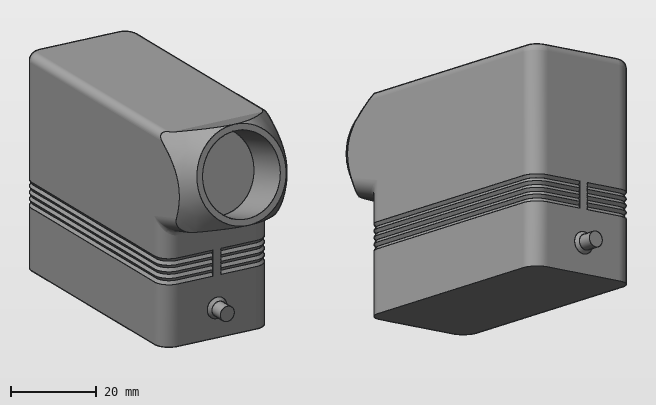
import cadquery as cq
import math

body_length = 62.9
body_width = 29.4
body_height = 54.0
corner_radius = 4.0
top_radius = 2.0
end_x = body_length / 2
half_width = body_width / 2

entry_tilt = 15.0
entry_length = 8.1
mouth_diameter = 24.05
mouth_cone_angle = 33.0
mouth_cone_length = 11.4
bore_diameter = 20.95
bore_depth = 12.2
neck_radius = 1.6

groove_count = 4
groove_pitch = 1.6
groove_depth = 0.53
grooves_bottom = 15.65
groove_gap = 2.2

pin_diameter = 3.8
pin_height = 7.5
pin_length = 4.6
collar_diameter = 5.4
collar_length = 0.8

tilt = math.radians(entry_tilt)
entry_axis = (math.cos(tilt), math.sin(tilt))
mouth_top = (
    end_x + entry_length * entry_axis[0],
    body_height + entry_length * entry_axis[1],
)
mouth_bottom = (
    mouth_top[0] + mouth_diameter * entry_axis[1],
    mouth_top[1] - mouth_diameter * entry_axis[0],
)
mouth_center = (
    (mouth_top[0] + mouth_bottom[0]) / 2,
    (mouth_top[1] + mouth_bottom[1]) / 2,
)
neck_z = mouth_bottom[1] - (mouth_bottom[0] - end_x) * math.tan(tilt)

tolerance = 0.001


def is_near(value, target):
    return abs(value - target) < tolerance


def is_on_side(edge):
    """True for edges lying in one of the two long side faces."""
    return is_near(abs(edge.Center().y), half_width)


def is_body_corner(edge):
    is_vertical = is_near(abs(edge.tangentAt(0.5).z), 1)
    return is_on_side(edge) and is_vertical


def is_entry_underside(edge):
    """True for the two long lower edges of the entry block."""
    center = edge.Center()
    is_low = neck_z < center.z < mouth_center[1]
    return is_on_side(edge) and center.x > end_x + tolerance and is_low


def is_large_round(edge):
    return is_body_corner(edge) or is_entry_underside(edge)


def is_top_rim(edge):
    """True for the outline of the top, leaving out the crease at the entry and the mouth."""
    center = edge.Center()
    is_high = center.z > body_height - tolerance
    is_crease = is_near(center.x, end_x)
    is_mouth = is_near(center.x, mouth_top[0])
    return is_high and not is_crease and not is_mouth


def is_neck(edge):
    """True for the inside corner between the +X end and the entry."""
    center = edge.Center()
    return is_near(center.x, end_x) and is_near(center.z, neck_z)


def fillet_where(part, condition, radius):
    chosen = [edge for edge in part.edges().vals() if condition(edge)]
    return part.newObject(chosen).fillet(radius)


def make_hood():
    """Body and entry block as one side profile with rounded edges."""
    hood = (
        cq.Workplane("XZ")
        .moveTo(-end_x, 0)
        .lineTo(end_x, 0)
        .lineTo(end_x, neck_z)
        .lineTo(*mouth_bottom)
        .lineTo(*mouth_top)
        .lineTo(end_x, body_height)
        .lineTo(-end_x, body_height)
        .close()
        .extrude(half_width, both=True)
    )
    hood = fillet_where(hood, is_large_round, corner_radius)
    hood = fillet_where(hood, is_top_rim, top_radius)
    return fillet_where(hood, is_neck, neck_radius)


def mouth_plane():
    """Plane of the mouth, with its normal pointing out of the entry."""
    return cq.Plane(
        origin=(mouth_center[0], 0, mouth_center[1]),
        xDir=(0, 1, 0),
        normal=(entry_axis[0], 0, entry_axis[1]),
    )


def make_mouth_trim():
    """Ring whose conical inside tapers the entry block down to the round mouth."""
    mouth_radius = mouth_diameter / 2
    base_radius = mouth_radius + mouth_cone_length * math.tan(math.radians(mouth_cone_angle))
    mouth = mouth_plane()
    section_plane = cq.Plane(origin=mouth.origin, xDir=mouth.xDir, normal=mouth.yDir.multiply(-1))
    return (
        cq.Workplane(section_plane)
        .moveTo(mouth_radius, 0)
        .lineTo(base_radius, -mouth_cone_length)
        .lineTo(base_radius, 0)
        .close()
        .revolve(360, (0, 0, 0), (0, 1, 0))
    )


def make_bore():
    return cq.Workplane(mouth_plane()).circle(bore_diameter / 2).extrude(-bore_depth)


def make_pin(side):
    """Round pin with a conical collar; side is +1 or -1 along X."""
    pin_radius = pin_diameter / 2
    return (
        cq.Workplane("XY", origin=(0, 0, pin_height))
        .moveTo(0, 0)
        .lineTo(side * (end_x + pin_length), 0)
        .lineTo(side * (end_x + pin_length), pin_radius)
        .lineTo(side * (end_x + collar_length), pin_radius)
        .lineTo(side * end_x, collar_diameter / 2)
        .lineTo(0, collar_diameter / 2)
        .close()
        .revolve(360, (0, 0, 0), (1, 0, 0))
    )


def make_groove(bottom):
    """V-shaped groove around the body, left out in the middle of each end."""
    half_pitch = groove_pitch / 2
    flank_angle = math.degrees(math.atan(groove_depth / half_pitch))
    base = cq.Workplane("XY", origin=(0, 0, bottom))
    band = base.rect(2 * body_length, 2 * body_width).extrude(groove_pitch)
    bridge = base.rect(2 * body_length, groove_gap).extrude(groove_pitch)

    outline = cq.Sketch().rect(body_length, body_width).vertices().fillet(corner_radius)
    lower_core = base.placeSketch(outline).extrude(half_pitch, taper=flank_angle)
    upper_core = lower_core.mirror("XY", (0, 0, bottom + half_pitch))
    return band.cut(lower_core).cut(upper_core).cut(bridge)


result = make_hood().cut(make_mouth_trim()).cut(make_bore())
for index in range(groove_count):
    result = result.cut(make_groove(grooves_bottom + index * groove_pitch))
for side in (-1, 1):
    result = result.union(make_pin(side))